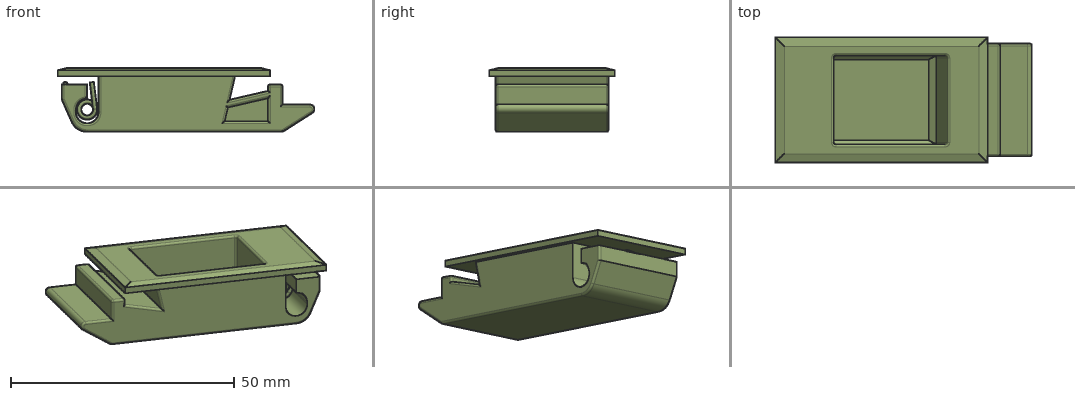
import cadquery as cq
import math

flange_length = 47.6
flange_width = 28.1
total_height = 14.3
flange_thickness = 1.9
bevel_width = 2.0
bevel_height = 0.5
flange_bottom = total_height - flange_thickness

total_length = 57.5
body_half_width = 12.65
edge_radius = 0.5
front_wall_x = 9.15
rear_wall_top_x = 39.75
lean_angle = math.radians(13)
lean = math.tan(lean_angle)

arm_front_x = 0.9
arm_top = 10.65
arm_lower_radius = 3.8
arm_slope_angle = math.radians(24)

bore_radius = 2.55
bore_x = front_wall_x - bore_radius
bore_low_z = 4.5
bore_high_z = 4.9

post_front_x = 47.1
post_rear_x = 50.4
post_top = arm_top
shelf_z = 6.15
nose_radius = 1.05

flexure_top_z = 9.2
flexure_height = 1.65

cup_front_x = 13.1
cup_floor_z = 2.4
cup_floor_rear_x = 34.4
cup_half_width = 9.95
cup_floor_half_width = 9.05
cup_bevel_height = 0.8
cup_rear_wall = 1.5
cup_corner_radius = 0.5

pocket_floor_z = cup_floor_z
pocket_back_wall = body_half_width - cup_half_width

wire_radius = 0.49
coil_radius = 1.8
coil_x = bore_x
coil_z = 5.0
coil_start_y = -4.65
coil_end_y = 2.9
full_turns = 7
free_leg_angle = 7.0
free_leg_top = 11.15
hook_x = 1.7
hook_z = 10.7
hook_length = 4.0
hook_drop = 0.5

tolerance = 0.005


def rear_wall_x(z):
    return rear_wall_top_x - (flange_bottom - z) * lean


def flexure_root(z_at_post):
    """Point where a flexure face that is z_at_post high at the post reaches the rear wall."""
    run = (post_front_x - rear_wall_x(z_at_post)) / (1 - lean**2)
    return (post_front_x - run, z_at_post - run * lean)


def polar(center_x, center_z, radius, angle):
    return (center_x + radius * math.cos(angle), center_z + radius * math.sin(angle))


def prism(points, y_from, y_to):
    """Extrudes an XZ outline between two Y positions."""
    outline = cq.Workplane("XZ", origin=(0, y_from, 0)).polyline(points).close()
    return outline.extrude(y_from - y_to)


def make_flange():
    slab_height = flange_thickness - bevel_height
    slab = (
        cq.Workplane("XY", origin=(flange_length / 2, 0, flange_bottom))
        .rect(flange_length, flange_width)
        .extrude(slab_height)
    )
    bevelled_top = (
        cq.Workplane("XY", origin=(flange_length / 2, 0, flange_bottom + slab_height))
        .rect(flange_length, flange_width)
        .workplane(offset=bevel_height)
        .rect(flange_length - 2 * bevel_width, flange_width - 2 * bevel_width)
        .loft(ruled=True)
    )
    return slab.union(bevelled_top)


def make_body_blank():
    """Arm, chamber, main block, flexure and tongue as one outline across the full width."""
    slope_contact = math.pi + arm_slope_angle
    slope_end = polar(bore_x, arm_lower_radius, arm_lower_radius, slope_contact)
    slope_top_z = slope_end[1] + (slope_end[0] - arm_front_x) / math.tan(arm_slope_angle)
    corner_mid = polar(bore_x, arm_lower_radius, arm_lower_radius, (slope_contact + 1.5 * math.pi) / 2)

    nose_x = total_length - nose_radius
    nose_z = shelf_z - nose_radius
    nose_distance = math.hypot(nose_x - post_rear_x, nose_z)
    ramp_angle = math.atan2(nose_z, nose_x - post_rear_x) - math.asin(nose_radius / nose_distance)
    ramp_end = polar(nose_x, nose_z, nose_radius, ramp_angle - math.pi / 2)

    bore_left = bore_x - bore_radius
    bore_upper_mid = polar(bore_x, bore_high_z, bore_radius, math.radians(135))
    return (
        cq.Workplane("XZ", origin=(0, body_half_width, 0))
        .moveTo(arm_front_x, arm_top)
        .lineTo(arm_front_x, slope_top_z)
        .lineTo(*slope_end)
        .threePointArc(corner_mid, (bore_x, 0))
        .lineTo(post_rear_x, 0)
        .lineTo(*ramp_end)
        .threePointArc((total_length, nose_z), (nose_x, shelf_z))
        .lineTo(post_rear_x, shelf_z)
        .lineTo(post_rear_x, post_top)
        .lineTo(post_front_x, post_top)
        .lineTo(post_front_x, flexure_top_z)
        .lineTo(*flexure_root(flexure_top_z))
        .lineTo(rear_wall_top_x, flange_bottom)
        .lineTo(front_wall_x, flange_bottom)
        .lineTo(front_wall_x, bore_low_z)
        .threePointArc((bore_x, bore_low_z - bore_radius), (bore_left, bore_low_z))
        .lineTo(bore_left, bore_high_z)
        .threePointArc(bore_upper_mid, (bore_x, bore_high_z + bore_radius))
        .lineTo(bore_x, arm_top)
        .close()
        .extrude(2 * body_half_width)
    )


def make_side_pocket():
    """Pocket open on the -Y side, bounded by the rear wall, the flexure and the post."""
    ceiling_z = flexure_top_z - flexure_height
    outline = [
        (rear_wall_x(pocket_floor_z), pocket_floor_z),
        (post_front_x, pocket_floor_z),
        (post_front_x, ceiling_z),
        flexure_root(ceiling_z),
    ]
    return prism(outline, -body_half_width, body_half_width - pocket_back_wall)


def make_cup():
    """Finger cup: a lengthwise and a crosswise section intersected, so the floor bevels mitre."""
    bevel_top = cup_floor_z + cup_bevel_height
    wall_run = cup_rear_wall / math.cos(lean_angle)
    lengthwise_outline = [
        (cup_front_x, total_height),
        (cup_front_x, cup_floor_z),
        (cup_floor_rear_x, cup_floor_z),
        (rear_wall_x(bevel_top) - wall_run, bevel_top),
        (rear_wall_x(total_height) - wall_run, total_height),
    ]
    half_outline = [
        (cup_half_width, total_height),
        (cup_half_width, bevel_top),
        (cup_floor_half_width, cup_floor_z),
    ]
    mirrored_half = [(-y, z) for y, z in reversed(half_outline)]
    lengthwise = prism(lengthwise_outline, -cup_half_width, cup_half_width)
    crosswise = cq.Workplane("YZ").polyline(half_outline + mirrored_half).close().extrude(flange_length)

    def is_upright_corner(edge):
        return edge.BoundingBox().zlen > (total_height - cup_floor_z) / 2

    return lengthwise.intersect(crosswise).edges().filter(is_upright_corner).fillet(cup_corner_radius)


def lies_at_height(edge, z):
    box = edge.BoundingBox()
    return box.zlen < tolerance and abs(edge.Center().z - z) < tolerance


def is_post_top(edge):
    return lies_at_height(edge, post_top) and edge.Center().x > front_wall_x


def is_rounded_side_edge(edge):
    """All edges of a side face, save the sharp arm top and the joint with the flange."""
    is_arm_top = lies_at_height(edge, arm_top) and edge.Center().x < front_wall_x
    return not is_arm_top and not lies_at_height(edge, flange_bottom)


def is_rounded_outer_edge(edge):
    """As above, but leaving the mouth of the spring chamber sharp too."""
    box = edge.BoundingBox()
    in_chamber = (
        box.xmin > bore_x - bore_radius - tolerance
        and box.xmax < front_wall_x + tolerance
        and box.zmax > tolerance
    )
    return is_rounded_side_edge(edge) and not in_chamber


def is_cup_rim(edge):
    center = edge.Center()
    within_length = cup_front_x - tolerance < center.x < rear_wall_top_x
    within_width = abs(center.y) < cup_half_width + tolerance
    return within_length and within_width


def make_housing():
    body = make_body_blank().edges("|Y").filter(is_post_top).fillet(edge_radius)
    body = body.cut(make_side_pocket())
    body = body.faces("<Y").edges().filter(is_rounded_side_edge).fillet(edge_radius)
    body = body.faces(">Y").edges().filter(is_rounded_outer_edge).fillet(edge_radius)
    housing = body.union(make_flange()).cut(make_cup())
    return housing.faces(">Z").edges().filter(is_cup_rim).fillet(edge_radius)


def wire_rod(start, end):
    """Straight wire with a rounded joint at its start."""
    axis = cq.Vector(*end) - cq.Vector(*start)
    rod = cq.Solid.makeCylinder(wire_radius, axis.Length, cq.Vector(*start), axis)
    return cq.Workplane("XY").sphere(wire_radius).translate(start).union(cq.Workplane(obj=rod))


def make_coil(turns):
    """Close-wound coil along +Y, running down from the foot of the free leg."""
    length = coil_end_y - coil_start_y
    helix = cq.Workplane(obj=cq.Wire.makeHelix(length / turns, length, coil_radius))
    section = cq.Workplane("XZ", origin=(coil_radius, 0, 0)).circle(wire_radius)
    coil = section.sweep(helix, isFrenet=True)
    coil = coil.rotate((0, 0, 0), (1, 0, 0), -90)
    coil = coil.rotate((0, 0, 0), (0, 1, 0), -free_leg_angle)
    return coil.translate((coil_x, coil_start_y, coil_z))


def make_spring():
    hook_distance = math.hypot(coil_x - hook_x, hook_z - coil_z)
    hook_bearing = math.atan2(coil_x - hook_x, hook_z - coil_z)
    hook_leg_angle = math.degrees(hook_bearing - math.asin(coil_radius / hook_distance))
    turns = full_turns + (180 + free_leg_angle - hook_leg_angle) / 360

    start_x, start_z = polar(coil_x, coil_z, coil_radius, math.radians(free_leg_angle))
    end_x, end_z = polar(coil_x, coil_z, coil_radius, math.radians(180 + hook_leg_angle))
    free_tip_x = start_x - (free_leg_top - start_z) * math.tan(math.radians(free_leg_angle))
    hook_corner = (hook_x, coil_end_y, hook_z)
    hook_tip = (hook_x, coil_end_y - hook_length, hook_z - hook_drop)

    free_leg = wire_rod((start_x, coil_start_y, start_z), (free_tip_x, coil_start_y, free_leg_top))
    hook_leg = wire_rod((end_x, coil_end_y, end_z), hook_corner)
    hook = wire_rod(hook_corner, hook_tip)
    return make_coil(turns).union(free_leg).union(hook_leg).union(hook)


spring = make_spring()
housing = make_housing().cut(spring)

result = cq.Compound.makeCompound([*housing.solids().vals(), *spring.solids().vals()])